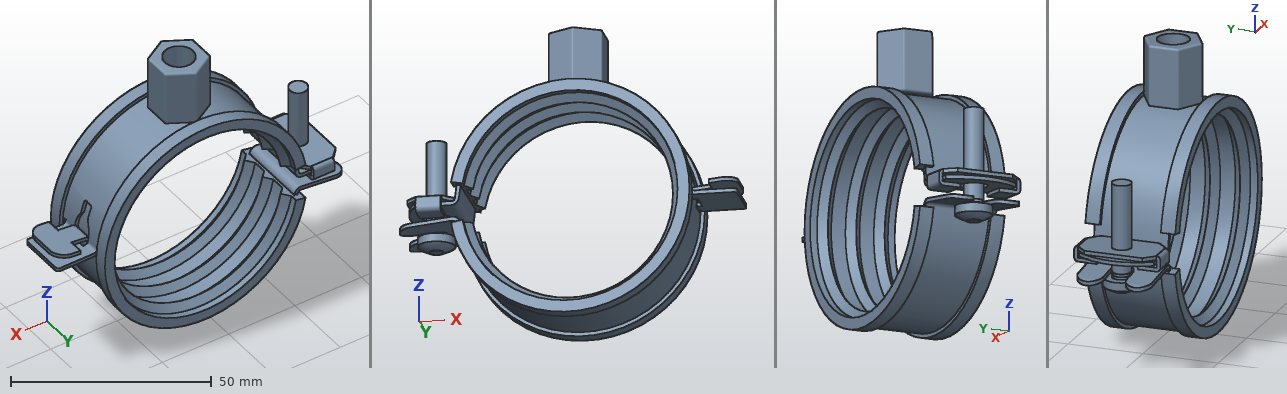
import cadquery as cq
import math


STRIP = 1.0
BAND_OUTER = 29.45
BAND_INNER = BAND_OUTER - STRIP
BAND_WIDTH = 19.8
BEND_INSIDE = 1.0
BEND_OUTSIDE = BEND_INSIDE + STRIP

LINER_WIDTH = 24.0
LINER_OUTER = BAND_OUTER + STRIP
LINER_INNER = 27.5
LIP_WIDTH = 3.8
RIB_INNER = 25.5
RIB_PITCH = 8.0
RIB_LAND = 0.1
GAP_HALF_ANGLE = 10.0

UPPER_FLANGE_TOP = 0.9
FLANGE_TIP_X = -42.6
FLANGE_TIP_RADIUS = 17.5
FLANGE_HOLE = 7.0
BAND_HOLE = 6.7

TAB_WIDTH = 14.0
TAB_TIP_X = 41.4
TAB_CORNER = 0.9
TONGUE_TIP_X = 41.15
TONGUE_CORNER = 4.2
NECK_WIDTH = 5.9
NECK_END_X = 34.4
WINDOW_END_X = 30.9
WINDOW_ARCH_BASE = 3.4
WINDOW_ARCH_TOP = 7.25
WINDOW_ARCH_MIDDLE = 2.6
NOTCH_WIDTH = 3.1
NOTCH_TOP = 11.0
NOTCH_CORNER = 0.5
SHOULDER_Z = -0.25

LOWER_SLOPE = 6.0
LOWER_RISE = 0.04
CURL_START_X = -42.2
CURL_RADIUS = 7.7
CURL_ANGLE = 25.0
FORK_SLOT = 6.1
PRONG_TIP_X = -44.0

NUT_FLATS = 13.7
NUT_SIDES = 6
NUT_TOP = 45.5
NUT_BORE = 8.4
NUT_EDGE = 0.6

SCREW_X = -35.9
SCREW_TOP = 19.5
THREAD_DIAMETER = 5.0
THREAD_END = -3.9
RELIEF_DIAMETER = 4.7
RELIEF_END = -4.7
SHANK_DIAMETER = 4.95
HEAD_DIAMETER = 9.5
HEAD_TOP = -5.4
HEAD_EDGE = -7.6
HEAD_DOME_END = -9.0
HEAD_BOTTOM = -9.1
HEAD_BOSS_DIAMETER = 3.6

CLIP_LENGTH = 11.95
CLIP_PLATE_HALF_WIDTH = 10.4
CLIP_CORNER = 2.65
CLIP_OUTER_WIDTH = 23.05
CLIP_TOP = 2.5
CLIP_BOTTOM = -1.7
WING_LENGTH = 6.3
CLIP_LIP = 6.1
CLIP_BEND_INSIDE = 0.2

FAR = 51.2


def block(x_range, y_range, z_range):
    """Box between the given limits."""
    size = [high - low for low, high in (x_range, y_range, z_range)]
    corner = (x_range[0], y_range[0], z_range[0])
    return cq.Workplane("XY").box(*size, centered=False).translate(corner)


def side_blocks(x_range, inner_half_width, z_range):
    """A mirrored pair of boxes that lie beyond the given half width."""
    near = block(x_range, (-FAR, -inner_half_width), z_range)
    return near.union(near.mirror("XZ"))


def cylinder_z(x, diameter, bottom, top):
    return cq.Workplane("XY", origin=(x, 0, bottom)).circle(diameter / 2).extrude(top - bottom)


def on_circle(radius, slope, rise, side):
    """Point where the line z = slope * x + rise meets the circle, at side -1 or +1."""
    square = 1 + slope**2
    x = (side * math.sqrt(radius**2 * square - rise**2) - slope * rise) / square
    return (x, slope * x + rise)


def across(outline, width):
    """Extrude an XZ outline to a width centred on Y = 0."""
    return outline.close().extrude(width / 2, both=True)


def fillet_at(body, point, radius):
    """Round the edge along Y that passes nearest to an XZ point."""
    nearest = cq.selectors.NearestToPointSelector((point[0], 0, point[1]))
    return body.edges("|Y").edges(nearest).fillet(radius)


def make_liner():
    half = LINER_WIDTH / 2
    section = [
        (LINER_OUTER, -half),
        (LINER_OUTER, LIP_WIDTH - half),
        (BAND_OUTER, LIP_WIDTH - half),
        (BAND_OUTER, -BAND_WIDTH / 2),
        (BAND_INNER, -BAND_WIDTH / 2),
        (BAND_INNER, BAND_WIDTH / 2),
        (BAND_OUTER, BAND_WIDTH / 2),
        (BAND_OUTER, half - LIP_WIDTH),
        (LINER_OUTER, half - LIP_WIDTH),
        (LINER_OUTER, half),
        (LINER_INNER, half),
    ]

    crest = RIB_LAND / 2
    root = crest + LINER_INNER - RIB_INNER
    for center in (RIB_PITCH, 0, -RIB_PITCH):
        section += [
            (LINER_INNER, center + root),
            (RIB_INNER, center + crest),
            (RIB_INNER, center - crest),
            (LINER_INNER, center - root),
        ]
    section.append((LINER_INNER, -half))
    liner = cq.Workplane("XY").polyline(section).close().revolve(360, (0, 0), (0, 1))

    gap_height = FAR * math.tan(math.radians(GAP_HALF_ANGLE))
    gap = cq.Workplane("XZ").polyline([(0, 0), (-FAR, gap_height), (-FAR, -gap_height)])
    return liner.cut(across(gap, LINER_WIDTH))


def hinge_window():
    """Arched opening for the tongue with a narrow notch above it."""
    half_neck = NECK_WIDTH / 2
    half_notch = NOTCH_WIDTH / 2
    arch_middle = (WINDOW_ARCH_MIDDLE, (WINDOW_ARCH_BASE + WINDOW_ARCH_TOP) / 2)
    return (
        cq.Workplane("YZ")
        .moveTo(-half_neck, -STRIP)
        .lineTo(half_neck, -STRIP)
        .lineTo(half_neck, WINDOW_ARCH_BASE)
        .threePointArc(arch_middle, (half_notch, WINDOW_ARCH_TOP))
        .lineTo(half_notch, NOTCH_TOP)
        .lineTo(-half_notch, NOTCH_TOP)
        .lineTo(-half_notch, WINDOW_ARCH_TOP)
        .threePointArc((-arch_middle[0], arch_middle[1]), (-half_neck, WINDOW_ARCH_BASE))
        .close()
        .extrude(WINDOW_END_X)
        .edges("|X and >Z")
        .fillet(NOTCH_CORNER)
    )


def make_upper_band():
    top = UPPER_FLANGE_TOP
    bottom = top - STRIP
    outer_left = on_circle(BAND_OUTER, 0, top, -1)
    outer_right = on_circle(BAND_OUTER, 0, top, 1)
    inner_left = on_circle(BAND_INNER, 0, bottom, -1)
    inner_right = on_circle(BAND_INNER, 0, bottom, 1)
    outline = (
        cq.Workplane("XZ")
        .moveTo(FLANGE_TIP_X, top)
        .lineTo(*outer_left)
        .threePointArc((0, BAND_OUTER), outer_right)
        .lineTo(TAB_TIP_X, top)
        .lineTo(TAB_TIP_X, bottom)
        .lineTo(*inner_right)
        .threePointArc((0, BAND_INNER), inner_left)
        .lineTo(FLANGE_TIP_X, bottom)
    )
    band = across(outline, BAND_WIDTH)
    for point in (outer_left, outer_right):
        band = fillet_at(band, point, BEND_INSIDE)
    for point in (inner_left, inner_right):
        band = fillet_at(band, point, BEND_OUTSIDE)

    band = band.cut(side_blocks((0, FAR), TAB_WIDTH / 2, (-FAR, top + BEND_INSIDE)))
    band = band.edges("|Z and >X").fillet(TAB_CORNER)
    band = band.cut(hinge_window())

    flange_zone = block((FLANGE_TIP_X, SCREW_X), (-FAR, FAR), (bottom, top))
    tip_disc = cylinder_z(FLANGE_TIP_X + FLANGE_TIP_RADIUS, 2 * FLANGE_TIP_RADIUS, bottom, top)
    band = band.cut(flange_zone.cut(tip_disc))

    band = band.cut(cylinder_z(SCREW_X, FLANGE_HOLE, bottom, top))
    return band.cut(cylinder_z(0, BAND_HOLE, 0, BAND_OUTER))


def make_lower_band():
    angle = math.radians(LOWER_SLOPE)
    slope = math.tan(angle)
    top_rise = LOWER_RISE
    bottom_rise = top_rise - STRIP / math.cos(angle)
    inner_left = on_circle(BAND_INNER, slope, top_rise, -1)
    inner_right = on_circle(BAND_INNER, slope, top_rise, 1)
    outer_left = on_circle(BAND_OUTER, slope, bottom_rise, -1)
    outer_right = on_circle(BAND_OUTER, slope, bottom_rise, 1)
    tongue_top = (TONGUE_TIP_X, slope * TONGUE_TIP_X + top_rise)
    tongue_bottom = (
        tongue_top[0] + STRIP * math.sin(angle),
        tongue_top[1] - STRIP * math.cos(angle),
    )

    curl_center = (
        CURL_START_X + CURL_RADIUS * math.sin(angle),
        slope * CURL_START_X + top_rise - CURL_RADIUS * math.cos(angle),
    )

    def on_curl(radius, turn):
        direction = angle + math.radians(turn)
        x = curl_center[0] - radius * math.sin(direction)
        return (x, curl_center[1] + radius * math.cos(direction))

    curl_inside = CURL_RADIUS - STRIP
    outline = (
        cq.Workplane("XZ")
        .moveTo(*on_curl(CURL_RADIUS, 0))
        .lineTo(*inner_left)
        .threePointArc((0, -BAND_INNER), inner_right)
        .lineTo(*tongue_top)
        .lineTo(*tongue_bottom)
        .lineTo(*outer_right)
        .threePointArc((0, -BAND_OUTER), outer_left)
        .lineTo(*on_curl(curl_inside, 0))
        .threePointArc(on_curl(curl_inside, CURL_ANGLE / 2), on_curl(curl_inside, CURL_ANGLE))
        .lineTo(*on_curl(CURL_RADIUS, CURL_ANGLE))
        .threePointArc(on_curl(CURL_RADIUS, CURL_ANGLE / 2), on_curl(CURL_RADIUS, 0))
    )
    band = across(outline, BAND_WIDTH)
    for point in (outer_left, outer_right):
        band = fillet_at(band, point, BEND_INSIDE)
    for point in (inner_left, inner_right):
        band = fillet_at(band, point, BEND_OUTSIDE)

    band = band.cut(side_blocks((0, NECK_END_X), NECK_WIDTH / 2, (SHOULDER_Z, FAR)))
    plate_length = tongue_bottom[0]
    plate_plan = (
        cq.Workplane("XY", origin=(0, 0, SHOULDER_Z))
        .rect(2 * plate_length, TAB_WIDTH)
        .extrude(FAR)
        .edges("|Z and >X")
        .fillet(TONGUE_CORNER)
    )
    tongue_zone = block((0, FAR), (-FAR, FAR), (SHOULDER_Z, FAR))
    band = band.cut(tongue_zone.cut(plate_plan))

    prong_width = (BAND_WIDTH - FORK_SLOT) / 2
    prong_length = 2 * (SCREW_X - PRONG_TIP_X)
    fork_zone = block((-FAR, SCREW_X), (-FAR, FAR), (-FAR / 2, 0))
    for side in (-1, 1):
        prong = (
            cq.Workplane("XY")
            .slot2D(prong_length, prong_width)
            .extrude(-FAR / 2)
            .translate((PRONG_TIP_X + prong_length / 2, side * (FORK_SLOT + prong_width) / 2, 0))
        )
        fork_zone = fork_zone.cut(prong)
    band = band.cut(fork_zone)
    return band.cut(cylinder_z(SCREW_X, FORK_SLOT, -FAR / 4, 0))


def make_nut():
    half_side_angle = 180 / NUT_SIDES
    corner_diameter = NUT_FLATS / math.cos(math.radians(half_side_angle))
    return (
        cq.Workplane("XY", origin=(0, 0, BAND_OUTER))
        .polygon(NUT_SIDES, corner_diameter)
        .extrude(NUT_TOP - BAND_OUTER)
        .rotate((0, 0, 0), (0, 0, 1), half_side_angle)
        .edges()
        .fillet(NUT_EDGE)
        .cut(cylinder_z(0, NUT_BORE, BAND_OUTER, NUT_TOP))
    )


def make_screw():
    head_radius = HEAD_DIAMETER / 2
    boss_radius = HEAD_BOSS_DIAMETER / 2
    dome_center = (HEAD_EDGE + HEAD_DOME_END) / 2 + (head_radius**2 - boss_radius**2) / (
        2 * (HEAD_EDGE - HEAD_DOME_END)
    )
    dome_radius = math.hypot(head_radius, HEAD_EDGE - dome_center)
    middle_radius = (head_radius + boss_radius) / 2
    dome_middle = (middle_radius, dome_center - math.sqrt(dome_radius**2 - middle_radius**2))
    half_section = (
        cq.Workplane("XZ")
        .moveTo(0, SCREW_TOP)
        .lineTo(THREAD_DIAMETER / 2, SCREW_TOP)
        .lineTo(THREAD_DIAMETER / 2, THREAD_END)
        .lineTo(RELIEF_DIAMETER / 2, THREAD_END)
        .lineTo(RELIEF_DIAMETER / 2, RELIEF_END)
        .lineTo(SHANK_DIAMETER / 2, RELIEF_END)
        .lineTo(SHANK_DIAMETER / 2, HEAD_TOP)
        .lineTo(head_radius, HEAD_TOP)
        .lineTo(head_radius, HEAD_EDGE)
        .threePointArc(dome_middle, (boss_radius, HEAD_DOME_END))
        .lineTo(boss_radius, HEAD_BOTTOM)
        .lineTo(0, HEAD_BOTTOM)
        .close()
    )
    return half_section.revolve(360, (0, 0), (0, 1)).translate((SCREW_X, 0, 0))


def make_clip():
    plate_bottom = CLIP_TOP - STRIP
    plate = (
        cq.Workplane("XY", origin=(SCREW_X, 0, plate_bottom))
        .rect(CLIP_LENGTH, 2 * CLIP_PLATE_HALF_WIDTH)
        .extrude(STRIP)
        .edges("|Z")
        .chamfer(CLIP_CORNER)
    )

    half_wing = WING_LENGTH / 2
    wing_x = (SCREW_X - half_wing, SCREW_X + half_wing)
    half_outer = CLIP_OUTER_WIDTH / 2
    half_inner = half_outer - STRIP
    half_opening = half_outer - CLIP_LIP
    wings = block(wing_x, (-half_outer, half_outer), (CLIP_BOTTOM, CLIP_TOP))
    wings = wings.edges("|X").fillet(CLIP_BEND_INSIDE + STRIP)
    hollow = block(wing_x, (-half_inner, half_inner), (CLIP_BOTTOM + STRIP, plate_bottom))
    wings = wings.cut(hollow.edges("|X").fillet(CLIP_BEND_INSIDE))
    wings = wings.cut(block(wing_x, (-half_opening, half_opening), (CLIP_BOTTOM, plate_bottom)))

    return plate.union(wings).cut(cylinder_z(SCREW_X, THREAD_DIAMETER, CLIP_BOTTOM, CLIP_TOP))


liner = make_liner()
upper_band = make_upper_band()
lower_band = make_lower_band()
nut = make_nut()
screw = make_screw()
clip = make_clip()

bodies = [liner, upper_band, lower_band, nut, screw, clip]
result = cq.Compound.makeCompound([body.solids().val() for body in bodies])